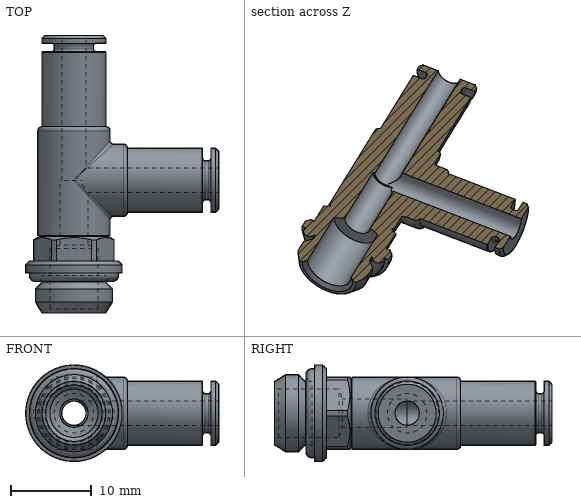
import cadquery as cq
import math


reach = 18.0
body_dia = 9.0
shoulder = 6.65
barrel_dia = 8.0
barrel_length = 9.35
barrel_chamfer = 0.1
crotch_round = 0.4

ring_dia = 8.0
ring_thickness = 1.0
ring_chamfer = 0.4
neck_dia = 4.9
neck_round = 0.3

stud_length = 16.5
thread_dia = 9.6
thread_lead_length = 1.4
thread_top = 3.0
groove_dia = 7.9
seal_bottom = 3.9
seal_dia = 11.1
flange_dia = 12.0
flange_bottom = 5.0
flange_top = 6.5
flange_chamfer = 0.5
hex_sides = 6
hex_flats = 9.0
hex_corner_dia = 10.0
hex_top = 9.5
hex_chamfer_angle = 30.0
relief_dia = 8.6
body_bottom = 9.65

inlet_dia = 6.0
inlet_depth = 8.0
inlet_mouth_dia = 7.0
drill_point_angle = 140.0
passage_dia = 3.5
port_bore_dia = 3.0

corner_bend = 1 - math.sqrt(0.5)


def cylinder(diameter, length):
    """Cylinder from the origin along +Y."""
    return cq.Workplane("XZ").circle(diameter / 2).extrude(-length)


def revolve_about_y(profile):
    """Turn a closed profile, drawn as (radius, Y), about the Y axis."""
    return profile.close().revolve(360, (0, 0, 0), (0, 1, 0))


def along_branch(shape):
    """Swing a shape from the +Y direction onto the +X direction."""
    return shape.rotate((0, 0, 0), (0, 0, 1), -90)


def body_arm(start):
    """Body cylinder along Y, rounded at the shoulder down to the barrel diameter."""
    body_radius = body_dia / 2
    barrel_radius = barrel_dia / 2
    shoulder_round = body_radius - barrel_radius
    bend = shoulder_round * corner_bend
    profile = (
        cq.Workplane("XY")
        .moveTo(0, start)
        .lineTo(body_radius, start)
        .lineTo(body_radius, shoulder - shoulder_round)
        .threePointArc((body_radius - bend, shoulder - bend), (barrel_radius, shoulder))
        .lineTo(0, shoulder)
    )
    return revolve_about_y(profile)


def tee_body():
    """Run and branch of equal diameter, with their two elliptical seams filleted."""
    run = body_arm(body_bottom - stud_length)
    tee = run.union(along_branch(body_arm(0)))
    return tee.edges("%ELLIPSE").fillet(crotch_round)


def port():
    """Barrel, neck and release ring of a tube port pointing to +Y."""
    barrel_radius = barrel_dia / 2
    neck_radius = neck_dia / 2
    ring_radius = ring_dia / 2
    ring_bottom = reach - ring_thickness
    barrel_end = shoulder + barrel_length
    bend = neck_round * corner_bend
    profile = (
        cq.Workplane("XY")
        .lineTo(barrel_radius, 0)
        .lineTo(barrel_radius, barrel_end - barrel_chamfer)
        .lineTo(barrel_radius - barrel_chamfer, barrel_end)
        .lineTo(neck_radius + neck_round, barrel_end)
        .threePointArc(
            (neck_radius + bend, barrel_end + bend),
            (neck_radius, barrel_end + neck_round),
        )
        .lineTo(neck_radius, ring_bottom - neck_round)
        .threePointArc(
            (neck_radius + bend, ring_bottom - bend),
            (neck_radius + neck_round, ring_bottom),
        )
        .lineTo(ring_radius, ring_bottom)
        .lineTo(ring_radius, reach - ring_chamfer)
        .lineTo(ring_radius - ring_chamfer, reach)
        .lineTo(0, reach)
    )
    return revolve_about_y(profile)


def threaded_stud():
    """Plain thread envelope, undercut holding an O-ring, flange and relief, from the face up."""
    thread_radius = thread_dia / 2
    groove_radius = groove_dia / 2
    flange_radius = flange_dia / 2
    seal_radius = seal_dia / 2
    section_radius = (seal_radius - groove_radius) / 2
    section_center = groove_radius + section_radius
    seal_height = seal_bottom + section_radius
    seal_contact = section_center + math.sqrt(section_radius**2 - (flange_bottom - seal_height) ** 2)
    profile = (
        cq.Workplane("XY")
        .lineTo(groove_radius, 0)
        .lineTo(thread_radius, thread_lead_length)
        .lineTo(thread_radius, thread_top)
        .lineTo(groove_radius, thread_top + thread_radius - groove_radius)
        .lineTo(groove_radius, seal_height)
        .threePointArc((section_center, seal_bottom), (seal_contact, flange_bottom))
        .lineTo(flange_radius, flange_bottom)
        .lineTo(flange_radius, flange_top - flange_chamfer)
        .lineTo(flange_radius - flange_chamfer, flange_top)
        .lineTo(relief_dia / 2, flange_top)
        .lineTo(relief_dia / 2, body_bottom)
        .lineTo(0, body_bottom)
    )
    return revolve_about_y(profile).translate((0, -stud_length, 0))


def hexagon():
    """Spanner hexagon with corners on the X axis, turned down and chamfered on top."""
    corner_radius = hex_corner_dia / 2
    across_corners = hex_flats / math.cos(math.pi / hex_sides)
    prism = (
        cq.Workplane("XZ", origin=(0, flange_top - stud_length, 0))
        .polygon(hex_sides, across_corners)
        .extrude(flange_top - hex_top)
    )
    top_radius = relief_dia / 2
    chamfer_height = (corner_radius - top_radius) * math.tan(math.radians(hex_chamfer_angle))
    envelope = revolve_about_y(
        cq.Workplane("XY")
        .moveTo(0, flange_top)
        .lineTo(corner_radius, flange_top)
        .lineTo(corner_radius, hex_top - chamfer_height)
        .lineTo(top_radius, hex_top)
        .lineTo(0, hex_top)
    )
    return prism.intersect(envelope.translate((0, -stud_length, 0)))


def inlet_bore():
    """Chamfered inlet bore with a drill point, leading to the passage at the origin."""
    inlet_radius = inlet_dia / 2
    passage_radius = passage_dia / 2
    mouth_radius = inlet_mouth_dia / 2
    point_height = (inlet_radius - passage_radius) / math.tan(math.radians(drill_point_angle / 2))
    profile = (
        cq.Workplane("XY")
        .lineTo(mouth_radius, 0)
        .lineTo(inlet_radius, mouth_radius - inlet_radius)
        .lineTo(inlet_radius, inlet_depth)
        .lineTo(passage_radius, inlet_depth + point_height)
        .lineTo(passage_radius, stud_length)
        .lineTo(0, stud_length)
    )
    return revolve_about_y(profile).translate((0, -stud_length, 0))


tube_port = port()
fitting = tee_body().union(tube_port).union(along_branch(tube_port))
fitting = fitting.union(threaded_stud()).union(hexagon())

port_bore = cylinder(port_bore_dia, reach)
result = fitting.cut(inlet_bore()).cut(port_bore).cut(along_branch(port_bore))